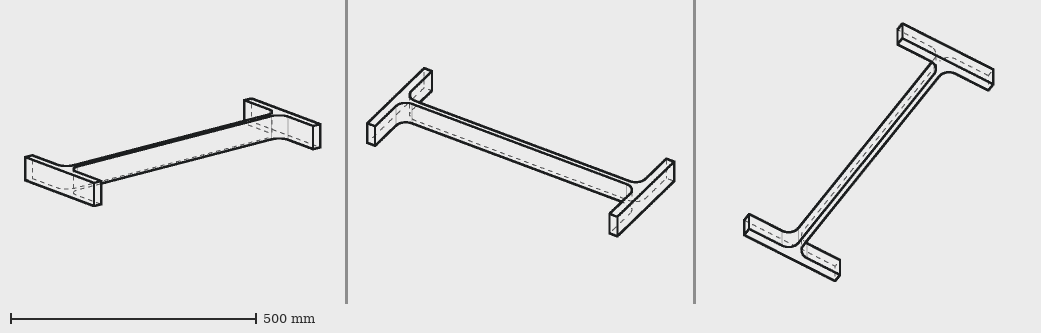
import cadquery as cq

section_height = 600.0
flange_width = 220.0
flange_thickness = 19.0
web_thickness = 12.0
root_radius = 24.0
beam_length = 50.0

flange_offset = (section_height - flange_thickness) / 2


def make_flange(center_y):
    """Flat flange plate centred at the given Y position."""
    return (
        cq.Workplane("XY")
        .center(0, center_y)
        .rect(flange_width, flange_thickness)
        .extrude(beam_length)
    )


def make_web():
    """Web plate that reaches the inner faces of both flanges."""
    web_height = section_height - 2 * flange_thickness
    return cq.Workplane("XY").rect(web_thickness, web_height).extrude(beam_length)


def root_edges(beam):
    """The four inner corner edges where the web meets the flanges."""
    root_box = cq.selectors.BoxSelector(
        (-web_thickness, -section_height, -beam_length),
        (web_thickness, section_height, 2 * beam_length),
    )
    return beam.edges("|Z").edges(root_box)


beam = make_web()
for side in (-1, 1):
    beam = beam.union(make_flange(side * flange_offset))

result = root_edges(beam).fillet(root_radius)